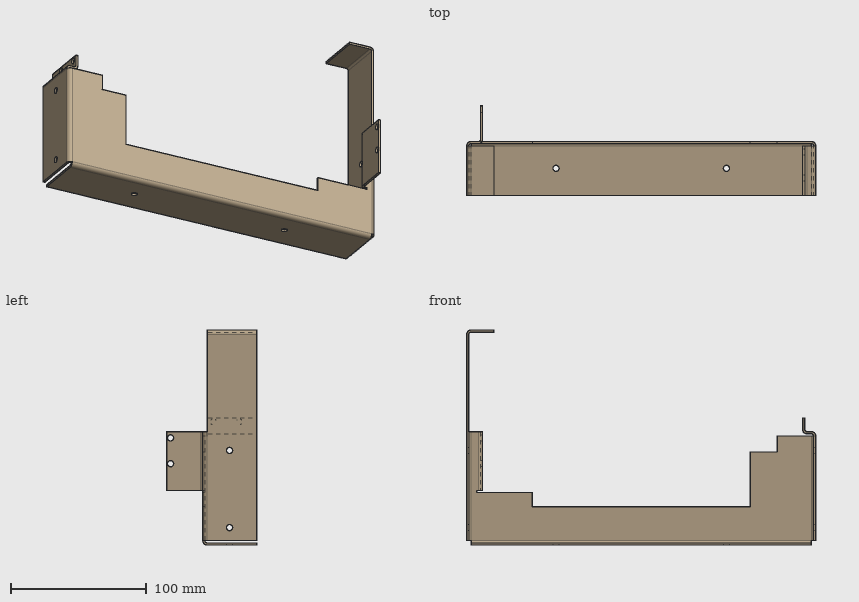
import cadquery as cq

sheet = 1.7
inner_radius = 1.5
outer_radius = inner_radius + sheet

length = 257.3
depth = 40.0
wall_depth = depth - outer_radius
left_height = 158.5
top_flange_length = 20.0

left_step_height = 38.9
left_step_end = 48.5
floor_height = 28.3
right_riser_x = 209.0
right_step_height = 68.7
right_top_x = 228.7

tab_rear = 66.5
tab_face_x = 11.8
tab_bottom = 40.1
tab_top = 83.5
relief_x = 7.5
lip_x = 247.5
lip_top = 93.7
joggle_top = tab_top
right_wall_top = joggle_top - outer_radius

hole_diameter = 4.5
wall_hole_y = 20.0
wall_hole_heights = (12.9, 69.7)
base_hole_positions = (65.9, 191.5)
base_hole_y = 20.0
ear_hole_pitch = 19.0
ear_hole_side = 4.6
ear_hole_edge = 2.8


def panel(x, y, z):
    """Flat panel filling the given (start, end) ranges."""
    size = (x[1] - x[0], y[1] - y[0], z[1] - z[0])
    return cq.Workplane().box(*size, centered=False).translate((x[0], y[0], z[0]))


def bend(normal, center, quadrant):
    """Quarter-round bend about the axis `normal`, from center[0] to center[1] along it.

    The axis passes through center[2], center[3] in the other two axes, in alphabetical order.
    The quadrant gives the sides of that axis on which the material lies.
    """
    start, end, u, v = center
    side_u, side_v = quadrant
    outline = (
        cq.Workplane("XY")
        .moveTo(side_u * inner_radius, 0)
        .lineTo(side_u * outer_radius, 0)
        .radiusArc((0, side_v * outer_radius), side_u * side_v * -outer_radius)
        .lineTo(0, side_v * inner_radius)
        .radiusArc((side_u * inner_radius, 0), side_u * side_v * inner_radius)
        .close()
        .extrude(end - start)
    )
    if normal == "X":
        return outline.rotate((0, 0, 0), (1, 1, 1), 120).translate((start, u, v))
    if normal == "Y":
        return outline.rotate((0, 0, 0), (1, 0, 0), 90).translate((u, end, v))
    return outline.translate((u, v, start))


def base():
    x = (outer_radius, length - outer_radius)
    plate = panel(x, (0, wall_depth), (0, sheet))
    return plate.union(bend("X", (*x, wall_depth, outer_radius), (1, -1)))


def back_plate():
    tab_bend_start = tab_face_x - outer_radius
    outline = [
        (outer_radius, outer_radius),
        (length - outer_radius, outer_radius),
        (length - outer_radius, right_wall_top),
        (right_top_x, right_wall_top),
        (right_top_x, right_step_height),
        (right_riser_x, right_step_height),
        (right_riser_x, floor_height),
        (left_step_end, floor_height),
        (left_step_end, left_step_height),
        (relief_x, left_step_height),
        (relief_x, tab_bottom),
        (tab_bend_start, tab_bottom),
        (tab_bend_start, tab_top),
        (outer_radius, tab_top),
    ]
    return cq.Workplane("XZ", origin=(0, depth, 0)).polyline(outline).close().extrude(sheet)


def left_wall():
    y = (0, wall_depth)
    flat_top = left_height - outer_radius
    wall = panel((0, sheet), y, (outer_radius, flat_top))
    flange = panel((outer_radius, top_flange_length), y, (left_height - sheet, left_height))
    return (
        wall.union(flange)
        .union(bend("Y", (*y, outer_radius, flat_top), (-1, 1)))
        .union(bend("Z", (outer_radius, tab_top, outer_radius, wall_depth), (-1, 1)))
    )


def rear_tab():
    z = (tab_bottom, tab_top)
    bend_x = tab_face_x - outer_radius
    bend_y = depth - sheet + outer_radius
    tab = panel((tab_face_x - sheet, tab_face_x), (bend_y, tab_rear), z)
    return tab.union(bend("Z", (*z, bend_x, bend_y), (1, -1)))


def right_wall():
    y = (0, wall_depth)
    bend_x = length - outer_radius
    lip_bend_x = lip_x + outer_radius
    lip_bend_z = joggle_top - sheet + outer_radius
    wall = panel((length - sheet, length), y, (outer_radius, right_wall_top))
    joggle = panel((lip_bend_x, bend_x), y, (joggle_top - sheet, joggle_top))
    lip = panel((lip_x, lip_x + sheet), y, (lip_bend_z, lip_top))
    return (
        wall.union(joggle)
        .union(lip)
        .union(bend("Y", (*y, bend_x, right_wall_top), (1, 1)))
        .union(bend("Y", (*y, lip_bend_x, lip_bend_z), (-1, -1)))
        .union(bend("Z", (outer_radius, right_wall_top, bend_x, wall_depth), (1, 1)))
    )


def holes_along_x(start, end, points):
    """Drills running in X between two positions, at the given (Y, Z) points."""
    drills = cq.Workplane("YZ", origin=(start, 0, 0)).pushPoints(points)
    return drills.circle(hole_diameter / 2).extrude(end - start)


body = base()
for section in (back_plate(), left_wall(), rear_tab(), right_wall()):
    body = body.union(section)

wall_points = [(wall_hole_y, z) for z in wall_hole_heights]
body = body.cut(holes_along_x(0, length, wall_points))

ear_offsets = (ear_hole_side, ear_hole_side + ear_hole_pitch)
tab_points = [(tab_rear - ear_hole_edge, tab_top - offset) for offset in ear_offsets]
body = body.cut(holes_along_x(0, tab_face_x, tab_points))
lip_points = [(wall_depth - offset, lip_top - ear_hole_edge) for offset in ear_offsets]
body = body.cut(holes_along_x(lip_x, length, lip_points))

base_points = [(x, base_hole_y) for x in base_hole_positions]
body = body.cut(cq.Workplane().pushPoints(base_points).circle(hole_diameter / 2).extrude(sheet))

result = body